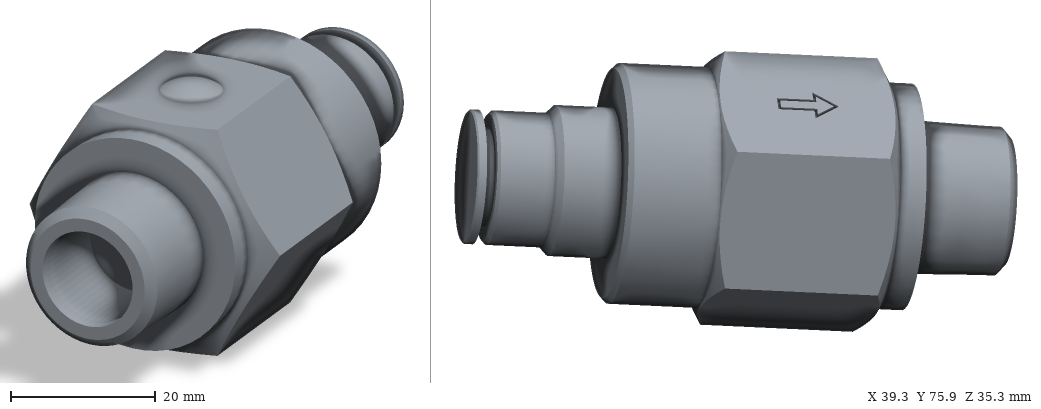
import cadquery as cq
import math


stem_length = 14.0
hex_start = 17.5
hex_end = 42.95
barrel_end = 55.95
neck_end = 65.05
sleeve_end = 73.1
release_ring_start = 74.6
total_length = 75.9

stem_base_radius = 10.7
collar_radius = 15.7
barrel_radius = 16.7
neck_radius = 10.5
sleeve_radius = 9.3
release_neck_radius = 6.75
release_ring_radius = 9.3

stem_taper_half_angle = math.atan(1 / 32)
stem_chamfer_length = 1.2
stem_face_radius = 8.95
bore_radius = 7.05
bore_depth = stem_length

barrel_chamfer = 0.75
sleeve_chamfer = 0.45
release_ring_chamfer = 0.2

hex_sides = 6
hex_flats = 34.0
hex_half_side_angle = math.pi / hex_sides
hex_chamfer_angle = math.radians(30)
hex_apothem = hex_flats / 2
hex_corner_radius = hex_apothem / math.cos(hex_half_side_angle)

dome_radius = 4.5
dome_height = 1.3
dome_y = 30.6

arrow_length = 8.6
arrow_head_length = 3.5
arrow_head_width = 5.0
arrow_shaft_width = 2.1
arrow_groove_width = 0.4
arrow_groove_depth = 0.75
arrow_y = 30.4


def turned(profile):
    """Revolve an (r, y) outline about the Y axis."""
    return cq.Workplane("XY").polyline(profile).close().revolve(360, (0, 0, 0), (0, 1, 0))


def male_stem():
    """Tapered stem with its chamfered mouth and the collar behind it."""
    taper_length = stem_length - stem_chamfer_length
    tip_radius = stem_base_radius - taper_length * math.tan(stem_taper_half_angle)
    return turned([
        (0, 0),
        (stem_face_radius, 0),
        (tip_radius, stem_chamfer_length),
        (stem_base_radius, stem_length),
        (collar_radius, stem_length),
        (collar_radius, hex_start),
        (0, hex_start),
    ])


def hex_body():
    """Hexagon with its corners turned off at both ends."""
    hexagon = (
        cq.Workplane("XZ", origin=(0, hex_start, 0))
        .polygon(hex_sides, 2 * hex_corner_radius)
        .extrude(hex_start - hex_end)
    )
    front_chamfer = (hex_corner_radius - collar_radius) * math.tan(hex_chamfer_angle)
    rear_chamfer = (hex_corner_radius - barrel_radius) * math.tan(hex_chamfer_angle)
    envelope = turned([
        (0, hex_start),
        (collar_radius, hex_start),
        (hex_corner_radius, hex_start + front_chamfer),
        (hex_corner_radius, hex_end - rear_chamfer),
        (barrel_radius, hex_end),
        (0, hex_end),
    ])
    return hexagon.intersect(envelope)


def push_in_end():
    """Barrel, stepped sleeve and release ring behind the hexagon."""
    neck_chamfer = neck_radius - sleeve_radius
    return turned([
        (0, hex_end),
        (barrel_radius, hex_end),
        (barrel_radius, barrel_end - barrel_chamfer),
        (barrel_radius - barrel_chamfer, barrel_end),
        (neck_radius, barrel_end),
        (neck_radius, neck_end - neck_chamfer),
        (sleeve_radius, neck_end),
        (sleeve_radius, sleeve_end - sleeve_chamfer),
        (sleeve_radius - sleeve_chamfer, sleeve_end),
        (release_neck_radius, sleeve_end),
        (release_neck_radius, release_ring_start),
        (release_ring_radius, release_ring_start),
        (release_ring_radius, total_length - release_ring_chamfer),
        (release_ring_radius - release_ring_chamfer, total_length),
        (0, total_length),
    ])


def dome():
    """Spherical cap standing on the top flat."""
    sphere_radius = (dome_radius**2 + dome_height**2) / (2 * dome_height)
    sphere_centre_z = hex_apothem + dome_height - sphere_radius
    sphere = cq.Workplane("XY").sphere(sphere_radius).translate((0, dome_y, sphere_centre_z))
    limit = (
        cq.Workplane("XY", origin=(0, dome_y, hex_apothem - dome_height))
        .circle(dome_radius)
        .extrude(2 * dome_height)
    )
    return sphere.intersect(limit)


def arrow_groove():
    """Outline of an arrow pointing toward the stem, sunk in the upper -X flat."""
    normal = (-math.cos(hex_half_side_angle), 0, math.sin(hex_half_side_angle))
    flat = cq.Plane(
        origin=(hex_apothem * normal[0], arrow_y, hex_apothem * normal[2]),
        xDir=(0, -1, 0),
        normal=normal,
    )
    tip = arrow_length / 2
    head_base = tip - arrow_head_length
    corners = [
        (-tip, -arrow_shaft_width / 2),
        (head_base, -arrow_shaft_width / 2),
        (head_base, -arrow_head_width / 2),
        (tip, 0),
        (head_base, arrow_head_width / 2),
        (head_base, arrow_shaft_width / 2),
        (-tip, arrow_shaft_width / 2),
    ]
    arrow = cq.Workplane(flat).polyline(corners).close().extrude(-arrow_groove_depth)
    island = (
        cq.Workplane(flat)
        .polyline(corners)
        .close()
        .offset2D(-arrow_groove_width, "intersection")
        .extrude(-arrow_groove_depth)
    )
    return arrow.cut(island)


bore = cq.Workplane("XZ").circle(bore_radius).extrude(-bore_depth)

result = (
    male_stem()
    .union(hex_body())
    .union(push_in_end())
    .union(dome())
    .cut(bore)
    .cut(arrow_groove())
)